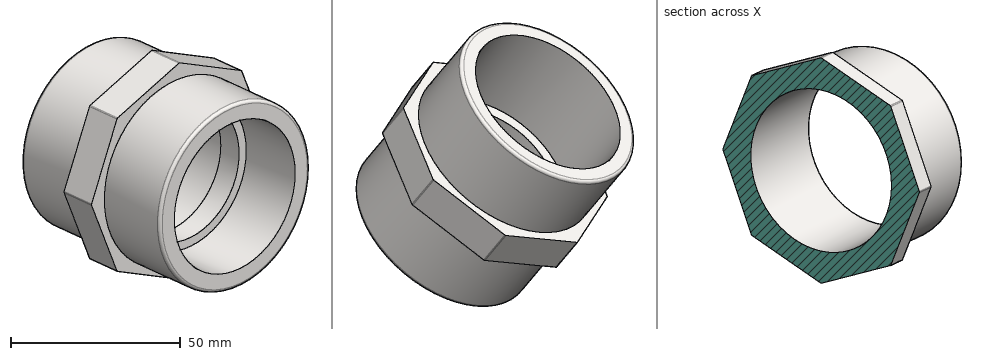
import cadquery as cq
import math

LENGTH = 60.4
BODY_DIAMETER = 60.0
END_ROUND = 1.0

COLLAR_WIDTH = 12.0
COLLAR_SIDES = 8
COLLAR_ACROSS_FLATS = 65.0
COLLAR_CORNER_RADIUS = 0.5

BORE_DIAMETER = 42.6
METRIC_SOCKET_DIAMETER = 50.0
INCH_SOCKET_DIAMETER = 48.3
METRIC_SOCKET_DEPTH = 31.0
STOP_WIDTH = 8.0

HALF_LENGTH = LENGTH / 2
INCH_SOCKET_DEPTH = LENGTH - METRIC_SOCKET_DEPTH - STOP_WIDTH
COLLAR_ACROSS_CORNERS = COLLAR_ACROSS_FLATS / math.cos(math.pi / COLLAR_SIDES)


def cylinder_along_x(diameter, start, length):
    """Cylinder on the X axis, from x = start to x = start + length."""
    return cq.Workplane("YZ").workplane(offset=start).circle(diameter / 2).extrude(length)


def rounded_body():
    """Plain outer cylinder with both end rims rounded."""
    return cylinder_along_x(BODY_DIAMETER, -HALF_LENGTH, LENGTH).edges("%CIRCLE").fillet(END_ROUND)


def wrench_collar():
    """Central octagon with corners on the Y and Z axes, edges slightly rounded."""
    prism = (
        cq.Workplane("YZ")
        .workplane(offset=-COLLAR_WIDTH / 2)
        .polygon(COLLAR_SIDES, COLLAR_ACROSS_CORNERS)
        .extrude(COLLAR_WIDTH)
    )
    return prism.edges("|X").fillet(COLLAR_CORNER_RADIUS)


bore = cylinder_along_x(BORE_DIAMETER, -HALF_LENGTH, LENGTH)
metric_socket = cylinder_along_x(METRIC_SOCKET_DIAMETER, -HALF_LENGTH, METRIC_SOCKET_DEPTH)
inch_socket = cylinder_along_x(INCH_SOCKET_DIAMETER, HALF_LENGTH - INCH_SOCKET_DEPTH, INCH_SOCKET_DEPTH)

result = rounded_body().union(wrench_collar()).cut(bore).cut(metric_socket).cut(inch_socket)